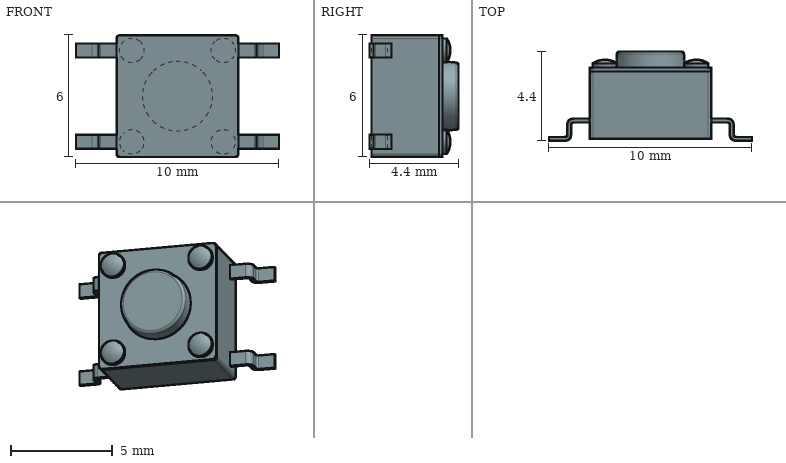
import cadquery as cq
import math


BODY_SIDE = 6.0
CORNER_RADIUS = 0.16
BODY_HEIGHT = 3.5
COVER_THICKNESS = 0.18
HOUSING_HEIGHT = BODY_HEIGHT - COVER_THICKNESS

RIVET_RADIUS = 0.6
RIVET_OFFSET = 2.25
RIVET_RIM_HEIGHT = 0.21
RIVET_HEIGHT = 0.4

BUTTON_BASE_RADIUS = 1.72
BUTTON_TOP_RADIUS = 1.65
BUTTON_HEIGHT = 0.8
BUTTON_EDGE_RADIUS = 0.15

LEAD_SPAN = 10.0
LEAD_WIDTH = 0.7
LEAD_THICKNESS = 0.2
LEAD_OFFSET_Z = 2.25
LEAD_DROP = 0.1
LEAD_RISE = 1.1
FOOT_LENGTH = 0.8
INNER_BEND = 0.1
OUTER_BEND = INNER_BEND + LEAD_THICKNESS


def body_slab(bottom, height):
    """Square slab with rounded corners, standing on the plane Y = bottom."""
    slab = cq.Workplane("XY").box(BODY_SIDE, height, BODY_SIDE, centered=(True, False, True))
    return slab.edges("|Y").fillet(CORNER_RADIUS).translate((0, bottom, 0))


def dome_midpoint():
    """Point halfway along the dome arc, between the rim and the apex."""
    rise = RIVET_HEIGHT - RIVET_RIM_HEIGHT
    sphere_radius = (RIVET_RADIUS**2 + rise**2) / (2 * rise)
    half_angle = math.asin(RIVET_RADIUS / sphere_radius) / 2
    centre_height = RIVET_HEIGHT - sphere_radius
    return (sphere_radius * math.sin(half_angle), centre_height + sphere_radius * math.cos(half_angle))


def make_rivet(x, z):
    """Short cylinder with a shallow domed top, sitting on the cover."""
    profile = (
        cq.Workplane("XY")
        .lineTo(RIVET_RADIUS, 0)
        .lineTo(RIVET_RADIUS, RIVET_RIM_HEIGHT)
        .threePointArc(dome_midpoint(), (0, RIVET_HEIGHT))
        .close()
    )
    return profile.revolve(360, (0, 0), (0, 1)).translate((x, BODY_HEIGHT, z))


def make_cover():
    """Cover plate with a rivet head in each corner."""
    cover = body_slab(HOUSING_HEIGHT, COVER_THICKNESS)
    for x in (-RIVET_OFFSET, RIVET_OFFSET):
        for z in (-RIVET_OFFSET, RIVET_OFFSET):
            cover = cover.union(make_rivet(x, z))
    return cover


def make_button():
    """Slightly tapered round button with a rounded top edge, standing on the cover."""
    cone = cq.Solid.makeCone(
        BUTTON_BASE_RADIUS,
        BUTTON_TOP_RADIUS,
        BUTTON_HEIGHT,
        pnt=cq.Vector(0, BODY_HEIGHT, 0),
        dir=cq.Vector(0, 1, 0),
    )
    return cq.Workplane(cone).faces(">Y").edges().fillet(BUTTON_EDGE_RADIUS)


def make_lead(side, z):
    """Bent strip from the housing wall down to a flat foot; side is -1 or +1 along X."""
    wall = BODY_SIDE / 2
    tip = LEAD_SPAN / 2
    riser_outer = tip - FOOT_LENGTH - INNER_BEND
    riser_inner = riser_outer - LEAD_THICKNESS
    bottom = -LEAD_DROP
    top = bottom + LEAD_RISE
    strip = (
        cq.Workplane("XY")
        .moveTo(wall, top)
        .lineTo(riser_outer, top)
        .lineTo(riser_outer, bottom + LEAD_THICKNESS)
        .lineTo(tip, bottom + LEAD_THICKNESS)
        .lineTo(tip, bottom)
        .lineTo(riser_inner, bottom)
        .lineTo(riser_inner, top - LEAD_THICKNESS)
        .lineTo(wall, top - LEAD_THICKNESS)
        .close()
        .extrude(LEAD_WIDTH / 2, both=True)
    )
    outer_corners = [(riser_outer, top), (riser_inner, bottom)]
    inner_corners = [(riser_outer, bottom + LEAD_THICKNESS), (riser_inner, top - LEAD_THICKNESS)]
    for corners, radius in ((outer_corners, OUTER_BEND), (inner_corners, INNER_BEND)):
        for x, y in corners:
            strip = strip.edges(cq.NearestToPointSelector((x, y, 0))).fillet(radius)
    if side < 0:
        strip = strip.mirror("YZ")
    return strip.translate((0, 0, z))


housing = body_slab(0, HOUSING_HEIGHT)
cover = make_cover()
button = make_button()
leads = [make_lead(side, z) for side in (-1, 1) for z in (-LEAD_OFFSET_Z, LEAD_OFFSET_Z)]

result = cq.Compound.makeCompound(
    [housing.val(), cover.val(), button.val(), *[lead.val() for lead in leads]]
)